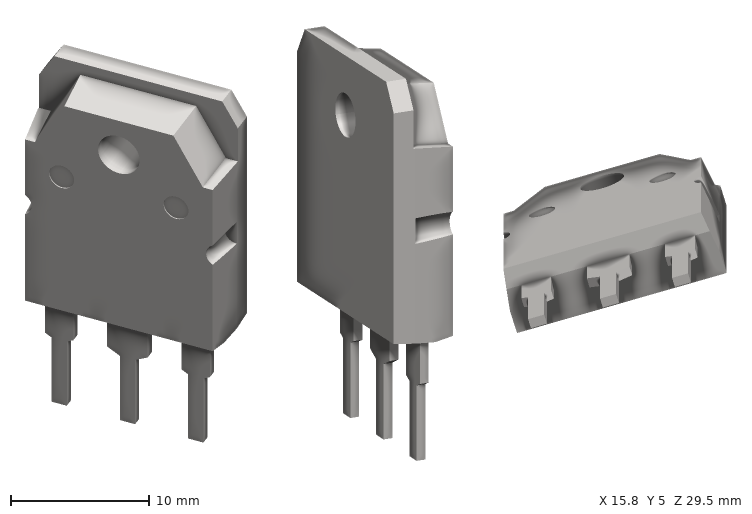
import cadquery as cq
import math


width = 15.8
depth = 5.0
height = 29.5
half_width = width / 2

shoulder_height = 24.5
parting_depth = 1.77
draft_angle = 8.0
underside_draft_angle = 7.0
underside_height = 9.45
draft_slope = math.tan(math.radians(draft_angle))
underside_slope = math.tan(math.radians(underside_draft_angle))
front_inset = (depth - parting_depth) * draft_slope

block_top_height = 28.47
block_top_half_width = 4.6
block_shoulder_half_width = 6.95
block_root = 1.18

tab_thickness = 1.6
tab_corner_width = 1.25
tab_corner_height = 2.05

hole_diameter = 3.3
hole_height = 24.95
notch_radius = 0.97
notch_height = 18.23
dimple_diameter = 1.98
dimple_depth = 0.1
dimple_offset = 4.55
dimple_height = 21.6

lead_pitch = 5.43
lead_back = 2.77
lead_front = 3.48
lead_tip_width = 1.2
lead_taper_bottom = 5.75
side_lead_width = 2.25
side_lead_taper_top = 6.02
middle_lead_width = 3.22
middle_lead_taper_top = 6.28


def plane_facing_front(y):
    """Sketch plane at depth y; its normal points to -Y, toward the front."""
    return cq.Workplane("XZ", origin=(0, -y, 0))


def cylinder_to_front(x, z, diameter, back, length):
    """Cylinder starting at depth `back` and running forward by `length`."""
    return plane_facing_front(back).center(x, z).circle(diameter / 2).extrude(length)


def make_lower_housing():
    """Main block: its side outline intersected with its outline from above."""
    side_outline = (
        cq.Workplane("YZ")
        .polyline([
            (0, shoulder_height),
            (0, underside_height + lead_front * underside_slope),
            (-lead_front, underside_height),
            (-depth, underside_height + (depth - lead_front) * underside_slope),
            (-depth, shoulder_height - front_inset),
            (-parting_depth, shoulder_height),
        ])
        .close()
        .extrude(half_width, both=True)
    )
    front_half_width = half_width - front_inset
    plan_outline = (
        cq.Workplane("XY")
        .polyline([
            (-half_width, 0),
            (-half_width, -parting_depth),
            (-front_half_width, -depth),
            (front_half_width, -depth),
            (half_width, -parting_depth),
            (half_width, 0),
        ])
        .close()
        .extrude(height)
    )
    return side_outline.intersect(plan_outline)


def make_raised_block():
    """Drafted trapezoid; its slanted sides run on down into the lower housing."""
    side_run = (block_shoulder_half_width - block_top_half_width) / (block_top_height - shoulder_height)
    root_half_width = block_shoulder_half_width + block_root * side_run
    root_height = shoulder_height - block_root
    return (
        plane_facing_front(tab_thickness)
        .polyline([
            (-root_half_width, root_height),
            (root_half_width, root_height),
            (block_top_half_width, block_top_height),
            (-block_top_half_width, block_top_height),
        ])
        .close()
        .extrude(depth - tab_thickness, taper=draft_angle)
    )


def make_mounting_hole():
    return cylinder_to_front(0, hole_height, hole_diameter, 0, depth)


def make_housing():
    housing = make_lower_housing().union(make_raised_block()).cut(make_mounting_hole())
    for side in (-1, 1):
        notch = cylinder_to_front(
            side * half_width, notch_height, 2 * notch_radius, parting_depth, depth - parting_depth
        )
        dimple = cylinder_to_front(
            side * dimple_offset, dimple_height, dimple_diameter, depth - dimple_depth, dimple_depth
        )
        housing = housing.cut(notch).cut(dimple)
    return housing


def make_tab():
    """Plate with two cut corners, standing on the shoulder behind the raised block."""
    corner_half_width = half_width - tab_corner_width
    corner_bottom = height - tab_corner_height
    tab = (
        plane_facing_front(0)
        .polyline([
            (-half_width, shoulder_height),
            (half_width, shoulder_height),
            (half_width, corner_bottom),
            (corner_half_width, height),
            (-corner_half_width, height),
            (-half_width, corner_bottom),
        ])
        .close()
        .extrude(tab_thickness)
    )
    return tab.cut(make_mounting_hole())


def make_lead(x, root_width, taper_top, housing):
    """Flat lead, wide at the root, with its top trimmed to the sloping underside."""
    half_root = root_width / 2
    half_tip = lead_tip_width / 2
    lead_top = underside_height + (lead_front - lead_back) * underside_slope
    blank = (
        plane_facing_front(lead_back)
        .center(x, 0)
        .polyline([
            (-half_tip, 0),
            (half_tip, 0),
            (half_tip, lead_taper_bottom),
            (half_root, taper_top),
            (half_root, lead_top),
            (-half_root, lead_top),
            (-half_root, taper_top),
            (-half_tip, lead_taper_bottom),
        ])
        .close()
        .extrude(lead_front - lead_back)
    )
    return blank.cut(housing)


housing = make_housing()
tab = make_tab()

leads = []
for x, root_width, taper_top in (
    (-lead_pitch, side_lead_width, side_lead_taper_top),
    (0, middle_lead_width, middle_lead_taper_top),
    (lead_pitch, side_lead_width, side_lead_taper_top),
):
    leads.append(make_lead(x, root_width, taper_top, housing).val())

result = cq.Compound.makeCompound([housing.val(), tab.val(), *leads])